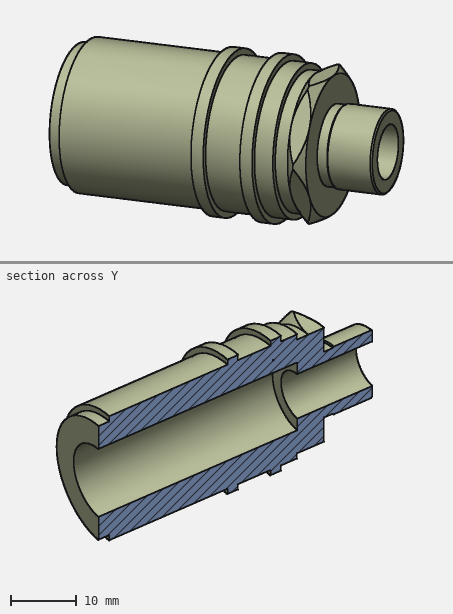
import cadquery as cq

NOSE_END = 2.0
FIRST_RING_START = 24.0
SECOND_RING_START = 32.0
RING_WIDTH = 2.0
BODY_END = 37.0
COLLAR_END = 39.0
HEX_WIDTH = 3.0
NECK_LENGTH = 1.6
TOTAL_LENGTH = 51.0

HEX_END = COLLAR_END + HEX_WIDTH
NECK_END = HEX_END + NECK_LENGTH

NOSE_DIAMETER = 22.0
BODY_DIAMETER = 24.0
RING_DIAMETER = 26.0
COLLAR_DIAMETER = 22.0
HEX_ACROSS_FLATS = 22.0
HEX_CREST_DIAMETER = 25.0
SPIGOT_DIAMETER = 13.157
SOCKET_DIAMETER = 13.0
BORE_DIAMETER = 8.5

HEX_CLOCKING = 90

SOCKET_DEPTH = BODY_END

NECK_CHAMFER = 0.2
END_CHAMFER = 0.25
NECK_DIAMETER = SPIGOT_DIAMETER - 2 * NECK_CHAMFER


def cylinder(start, end, diameter):
    """Solid cylinder on the X axis between two axial stations."""
    return cq.Workplane("YZ", origin=(start, 0, 0)).circle(diameter / 2).extrude(end - start)


def make_sleeve():
    """Stepped body with its nose, collar and two raised rings."""
    sleeve = cylinder(0, NOSE_END, NOSE_DIAMETER)
    sleeve = sleeve.union(cylinder(NOSE_END, BODY_END, BODY_DIAMETER))
    sleeve = sleeve.union(cylinder(BODY_END, COLLAR_END, COLLAR_DIAMETER))
    for ring_start in (FIRST_RING_START, SECOND_RING_START):
        ring = cylinder(ring_start, ring_start + RING_WIDTH, RING_DIAMETER)
        sleeve = sleeve.union(ring)
    return sleeve


def make_hex():
    """Hexagon with flats facing +Z and -Z, coned from both faces up to a mid-width crest."""
    prism = (
        cq.Workplane("YZ", origin=(COLLAR_END, 0, 0))
        .polygon(6, HEX_ACROSS_FLATS, circumscribed=True)
        .extrude(HEX_WIDTH)
        .rotate((0, 0, 0), (1, 0, 0), HEX_CLOCKING)
    )
    face_radius = HEX_ACROSS_FLATS / 2
    double_cone = (
        cq.Workplane("XY")
        .moveTo(COLLAR_END, 0)
        .lineTo(COLLAR_END, face_radius)
        .lineTo(COLLAR_END + HEX_WIDTH / 2, HEX_CREST_DIAMETER / 2)
        .lineTo(HEX_END, face_radius)
        .lineTo(HEX_END, 0)
        .close()
        .revolve(360, (0, 0, 0), (1, 0, 0))
    )
    return prism.intersect(double_cone)


def make_spigot():
    """Relief neck followed by the chamfered connection spigot."""
    neck = cylinder(HEX_END, NECK_END, NECK_DIAMETER)
    spigot = cylinder(NECK_END, TOTAL_LENGTH, SPIGOT_DIAMETER)
    spigot = spigot.faces("<X").chamfer(NECK_CHAMFER)
    spigot = spigot.faces(">X").chamfer(END_CHAMFER)
    return neck.union(spigot)


outside = make_sleeve().union(make_hex()).union(make_spigot())
socket = cylinder(0, SOCKET_DEPTH, SOCKET_DIAMETER)
bore = cylinder(SOCKET_DEPTH, TOTAL_LENGTH, BORE_DIAMETER)
result = outside.cut(socket).cut(bore)